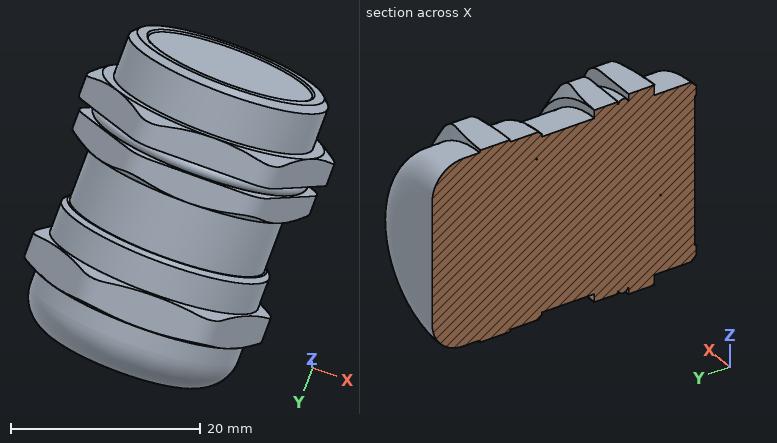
import cadquery as cq
import math

TOTAL_LENGTH = 33.58
CORNER_ROUND = 3.0

THREAD_DIAMETER = 22.5
THREAD_LENGTH = 5.35
THREAD_CHAMFER = 0.7
RECESS_DIAMETER = 18.9
RECESS_FLOOR_DIAMETER = 18.5
RECESS_DEPTH = 0.2

LOCKNUT_FLATS = 25.0
LOCKNUT_END = 8.65

SEAL_DIAMETER = 24.3
SEAL_END = 10.0

BODY_HEX_FLATS = 24.0
BODY_HEX_END = 13.0
BODY_DIAMETER = 22.0

CAP_DIAMETER = 23.5
CAP_START = 19.6
CAP_CHAMFER = 0.5
CAP_HEX_FLATS = 24.0
CAP_HEX_START = 23.6
CAP_HEX_END = 27.55
DOME_RADIUS = 4.0

STEEP_CHAMFER_ANGLE = 30.0
SHALLOW_CHAMFER_ANGLE = 20.0

FRONT_Y = -TOTAL_LENGTH / 2


def revolve_about_y(profile):
    """Revolve a closed (radius, y) profile a full turn about the Y axis."""
    return profile.close().revolve(360, (0, 0, 0), (0, 1, 0))


def cylinder(diameter, start, end):
    """Round section between two stations."""
    radius = diameter / 2
    return revolve_about_y(
        cq.Workplane("XY")
        .moveTo(0, FRONT_Y + start)
        .lineTo(radius, FRONT_Y + start)
        .lineTo(radius, FRONT_Y + end)
        .lineTo(0, FRONT_Y + end)
    )


def hexagon(flats, start, end, face_diameter, angle, chamfer_start=False, chamfer_end=False):
    """Hexagon with rounded corners along X, cut by a cone at the chosen ends."""
    across_corners = flats / math.cos(math.radians(30))
    prism = (
        cq.Workplane("XZ", origin=(0, FRONT_Y + start, 0))
        .polygon(6, across_corners)
        .extrude(start - end)
        .edges("|Y")
        .fillet(CORNER_ROUND)
    )
    face_radius = face_diameter / 2
    outer_radius = across_corners / 2
    drop = (outer_radius - face_radius) * math.tan(math.radians(angle))
    start_drop = drop if chamfer_start else 0
    end_drop = drop if chamfer_end else 0
    envelope = cq.Workplane("XY").moveTo(0, FRONT_Y + start)
    if chamfer_start:
        envelope = envelope.lineTo(face_radius, FRONT_Y + start)
    envelope = envelope.lineTo(outer_radius, FRONT_Y + start + start_drop)
    envelope = envelope.lineTo(outer_radius, FRONT_Y + end - end_drop)
    if chamfer_end:
        envelope = envelope.lineTo(face_radius, FRONT_Y + end)
    envelope = envelope.lineTo(0, FRONT_Y + end)
    return prism.intersect(revolve_about_y(envelope))


def make_thread():
    """Plain threaded end with a chamfered rim."""
    thread = cylinder(THREAD_DIAMETER, 0, THREAD_LENGTH)
    return thread.faces("<Y").edges().chamfer(THREAD_CHAMFER)


def make_recess():
    """Shallow tapered recess in the threaded end face."""
    return revolve_about_y(
        cq.Workplane("XY")
        .moveTo(0, FRONT_Y)
        .lineTo(RECESS_DIAMETER / 2, FRONT_Y)
        .lineTo(RECESS_FLOOR_DIAMETER / 2, FRONT_Y + RECESS_DEPTH)
        .lineTo(0, FRONT_Y + RECESS_DEPTH)
    )


def make_seal():
    """Sealing ring with a half-round rim."""
    bulge = (SEAL_END - LOCKNUT_END) / 2
    rim_radius = SEAL_DIAMETER / 2
    return revolve_about_y(
        cq.Workplane("XY")
        .moveTo(0, FRONT_Y + LOCKNUT_END)
        .lineTo(rim_radius - bulge, FRONT_Y + LOCKNUT_END)
        .threePointArc(
            (rim_radius, FRONT_Y + LOCKNUT_END + bulge),
            (rim_radius - bulge, FRONT_Y + SEAL_END),
        )
        .lineTo(0, FRONT_Y + SEAL_END)
    )


def make_cap():
    """Round cap nut: chamfered at the body side, domed at the closed end."""
    cap = cylinder(CAP_DIAMETER, CAP_START, TOTAL_LENGTH)
    cap = cap.faces(">Y").edges().fillet(DOME_RADIUS)
    return cap.faces("<Y").edges().chamfer(CAP_CHAMFER)


locknut = hexagon(
    LOCKNUT_FLATS, THREAD_LENGTH, LOCKNUT_END, LOCKNUT_FLATS, STEEP_CHAMFER_ANGLE, chamfer_start=True
)
body_hex = hexagon(
    BODY_HEX_FLATS, SEAL_END, BODY_HEX_END, BODY_HEX_FLATS, STEEP_CHAMFER_ANGLE, chamfer_end=True
)
cap_hex = hexagon(
    CAP_HEX_FLATS, CAP_HEX_START, CAP_HEX_END, CAP_DIAMETER, SHALLOW_CHAMFER_ANGLE,
    chamfer_start=True, chamfer_end=True,
)
body = cylinder(BODY_DIAMETER, BODY_HEX_END, CAP_START)

result = (
    make_thread()
    .cut(make_recess())
    .union(locknut)
    .union(make_seal())
    .union(body_hex)
    .union(body)
    .union(make_cap())
    .union(cap_hex)
)